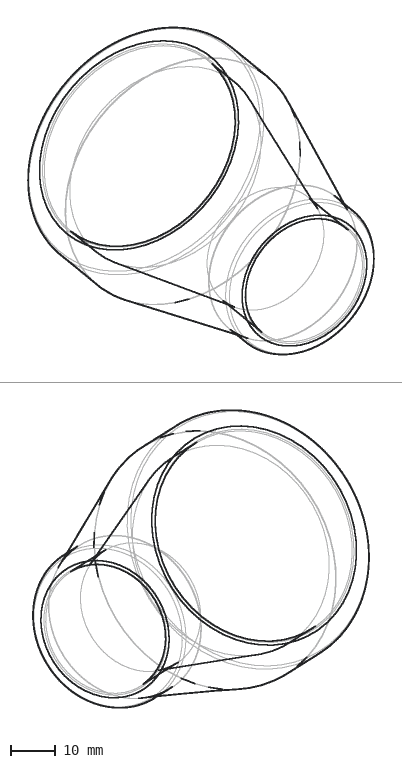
import cadquery as cq
import math

length = 76.0
large_outer_radius = 60.3 / 2
large_bore_radius = 49.1 / 2
small_outer_radius = 38.0 / 2
small_bore_radius = 30.0 / 2

large_collar_length = 20.0
small_collar_length = 10.0
large_bore_length = 12.0
small_bore_length = 18.0

land_width = 1.0
bevel_angle = 30.0

outer_blend_radius = 1.0
bore_rim_radius = 0.3

selection_margin = 0.1


def bevel_depth(outer_radius, bore_radius):
    """Axial depth of the bevel that leaves the flat land around the bore."""
    bevel_height = outer_radius - bore_radius - land_width
    return bevel_height * math.tan(math.radians(bevel_angle))


def round_rim(body, rim_x, rim_radius, blend_radius):
    """Round the circular edge of the given radius at position rim_x.

    Only edges no larger than rim_radius are picked, so larger circles at the
    same end stay sharp.
    """
    reach = rim_radius + selection_margin
    rim = cq.selectors.BoxSelector(
        (rim_x - selection_margin, -reach, -reach),
        (rim_x + selection_margin, reach, reach),
        boundingbox=True,
    )
    return body.edges(rim).edges("%CIRCLE").fillet(blend_radius)


large_bevel_end = bevel_depth(large_outer_radius, large_bore_radius)
small_bevel_start = length - bevel_depth(small_outer_radius, small_bore_radius)
taper_end = length - small_collar_length
bore_taper_end = length - small_bore_length

wall_section = (
    cq.Workplane("XZ")
    .moveTo(0, large_bore_radius)
    .lineTo(0, large_bore_radius + land_width)
    .lineTo(large_bevel_end, large_outer_radius)
    .lineTo(large_collar_length, large_outer_radius)
    .lineTo(taper_end, small_outer_radius)
    .lineTo(small_bevel_start, small_outer_radius)
    .lineTo(length, small_bore_radius + land_width)
    .lineTo(length, small_bore_radius)
    .lineTo(bore_taper_end, small_bore_radius)
    .lineTo(large_bore_length, large_bore_radius)
    .close()
)
reducer = wall_section.revolve(360, (0, 0, 0), (1, 0, 0))

outer_rims = [
    (large_bevel_end, large_outer_radius),
    (large_collar_length, large_outer_radius),
    (taper_end, small_outer_radius),
    (small_bevel_start, small_outer_radius),
]
for rim_x, rim_radius in outer_rims:
    reducer = round_rim(reducer, rim_x, rim_radius, outer_blend_radius)

bore_rims = [
    (0, large_bore_radius),
    (length, small_bore_radius),
]
for rim_x, rim_radius in bore_rims:
    reducer = round_rim(reducer, rim_x, rim_radius, bore_rim_radius)

result = reducer